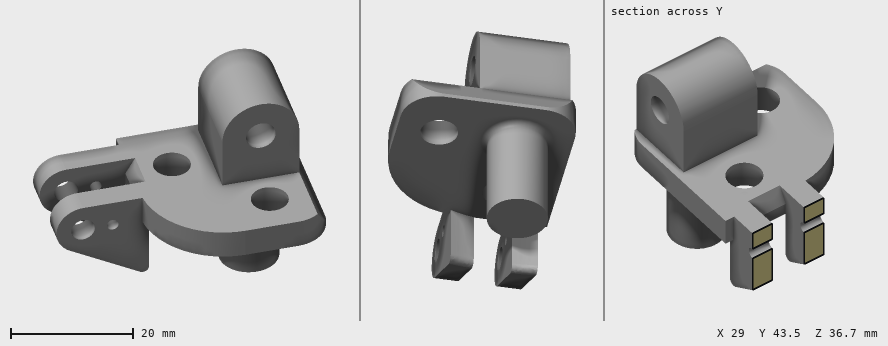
import cadquery as cq
import math


plate_thickness = 5.0
plate_left = -9.0
plate_right = 20.0
plate_back = 9.0
plate_front = -20.0
back_corner_radius = 6.0
front_corner_radius = 14.0
bevel_angle = math.radians(60)
back_bevel_depth = 2.5
mount_hole_diameter = 6.2
mount_hole_offset = 13.0

boss_width = 15.0
boss_radius = 6.5
boss_axis_height = plate_thickness + 9.0
boss_hole_diameter = 5.0

pin_diameter = 10.0
pin_length = 16.2
pin_root_fillet = 1.0

lug_outer_x = 7.25
lug_inner_x = 3.2
lug_end_radius = 4.5
lug_axis_y = -30.0
lug_axis_z = plate_thickness - lug_end_radius
lug_slope = math.radians(30)
lug_hole_diameter = 4.0
small_hole_diameter = 2.0
small_hole_spacing = 5.0
lug_clearance_radius = 20.2
lug_tip_fillet = 1.0
notch_bevel_depth = 1.65


def x_cylinder(diameter, y, z, x_min, x_max):
    """Cylinder running along X."""
    return (
        cq.Workplane("YZ", origin=(x_min, 0, 0))
        .center(y, z)
        .circle(diameter / 2)
        .extrude(x_max - x_min)
    )


def bevel_wedge(edge_y, inner_y, x_min, x_max):
    """Wedge that bevels the top edge of a plate face at edge_y, reaching in to inner_y."""
    drop = abs(edge_y - inner_y) * math.tan(bevel_angle)
    return (
        cq.Workplane("YZ", origin=(x_min, 0, 0))
        .moveTo(inner_y, plate_thickness)
        .lineTo(edge_y, plate_thickness)
        .lineTo(edge_y, plate_thickness - drop)
        .close()
        .extrude(x_max - x_min)
    )


def make_plate():
    """Plate with rounded corners, a bevelled back edge and a bevelled front edge between the lugs."""
    plate_width = plate_right - plate_left
    plate_depth = plate_back - plate_front
    plate = cq.Workplane("XY", origin=(plate_left, plate_front, 0)).box(
        plate_width, plate_depth, plate_thickness, centered=False
    )
    plate = plate.edges("|Z and >Y").fillet(back_corner_radius)
    plate = plate.edges("|Z and >X and <Y").fillet(front_corner_radius)
    back_bevel = bevel_wedge(plate_back, plate_back - back_bevel_depth, plate_left, plate_right)
    notch_bevel = bevel_wedge(plate_front, plate_front + notch_bevel_depth, -lug_inner_x, lug_inner_x)
    return plate.cut(back_bevel).cut(notch_bevel)


def make_boss():
    """Block with a half-round crown standing on the plate."""
    block_height = boss_axis_height - plate_thickness
    block = cq.Workplane("XY", origin=(0, 0, plate_thickness)).box(
        boss_width, 2 * boss_radius, block_height, centered=(True, True, False)
    )
    crown = x_cylinder(2 * boss_radius, 0, boss_axis_height, -boss_width / 2, boss_width / 2)
    return block.union(crown)


def make_pin():
    """Pin with a concave flare where it meets the plate."""
    radius = pin_diameter / 2
    flare_radius = radius + pin_root_fillet
    arc_offset = pin_root_fillet * (1 - math.sqrt(0.5))
    return (
        cq.Workplane("XZ")
        .moveTo(0, -pin_length)
        .lineTo(radius, -pin_length)
        .lineTo(radius, -pin_root_fillet)
        .threePointArc((radius + arc_offset, -arc_offset), (flare_radius, 0))
        .lineTo(0, 0)
        .close()
        .revolve(360, (0, 0, 0), (0, 1, 0))
    )


def make_lug(x_min, x_max):
    """Lug with a round front end, a sloped underside and a back curved about the pin axis."""
    tangent_y = lug_axis_y - lug_end_radius * math.sin(lug_slope)
    tangent_z = lug_axis_z - lug_end_radius * math.cos(lug_slope)
    blank_bottom = tangent_z + tangent_y * math.tan(lug_slope)
    end_mid_angle = (math.pi - lug_slope) / 2
    end_mid_y = lug_axis_y - lug_end_radius * math.sin(end_mid_angle)
    end_mid_z = lug_axis_z + lug_end_radius * math.cos(end_mid_angle)
    lug = (
        cq.Workplane("YZ", origin=(x_min, 0, 0))
        .moveTo(0, plate_thickness)
        .lineTo(lug_axis_y, plate_thickness)
        .threePointArc((end_mid_y, end_mid_z), (tangent_y, tangent_z))
        .lineTo(0, blank_bottom)
        .close()
        .extrude(x_max - x_min)
    )
    clearance = (
        cq.Workplane("XY", origin=(0, 0, blank_bottom))
        .circle(lug_clearance_radius)
        .extrude(plate_thickness - blank_bottom)
    )
    lug = lug.cut(clearance)
    return lug.faces(">Y").edges("<Z").fillet(lug_tip_fillet)


def make_mount_holes():
    """Two vertical holes, one to the right of the pin axis and one in front of it."""
    return (
        cq.Workplane("XY")
        .pushPoints([(mount_hole_offset, 0), (0, -mount_hole_offset)])
        .circle(mount_hole_diameter / 2)
        .extrude(plate_thickness)
    )


def make_cross_holes():
    """Holes along X through the boss and through both lugs."""
    boss_hole = x_cylinder(boss_hole_diameter, 0, boss_axis_height, plate_left, plate_right)
    lug_hole = x_cylinder(lug_hole_diameter, lug_axis_y, lug_axis_z, -lug_outer_x, lug_outer_x)
    small_hole_y = lug_axis_y + small_hole_spacing
    small_hole = x_cylinder(small_hole_diameter, small_hole_y, lug_axis_z, -lug_outer_x, lug_outer_x)
    return boss_hole.union(lug_hole).union(small_hole)


left_lug = make_lug(-lug_outer_x, -lug_inner_x)
right_lug = make_lug(lug_inner_x, lug_outer_x)
body = make_plate().union(make_boss()).union(make_pin()).union(left_lug).union(right_lug)
result = body.cut(make_mount_holes()).cut(make_cross_holes())